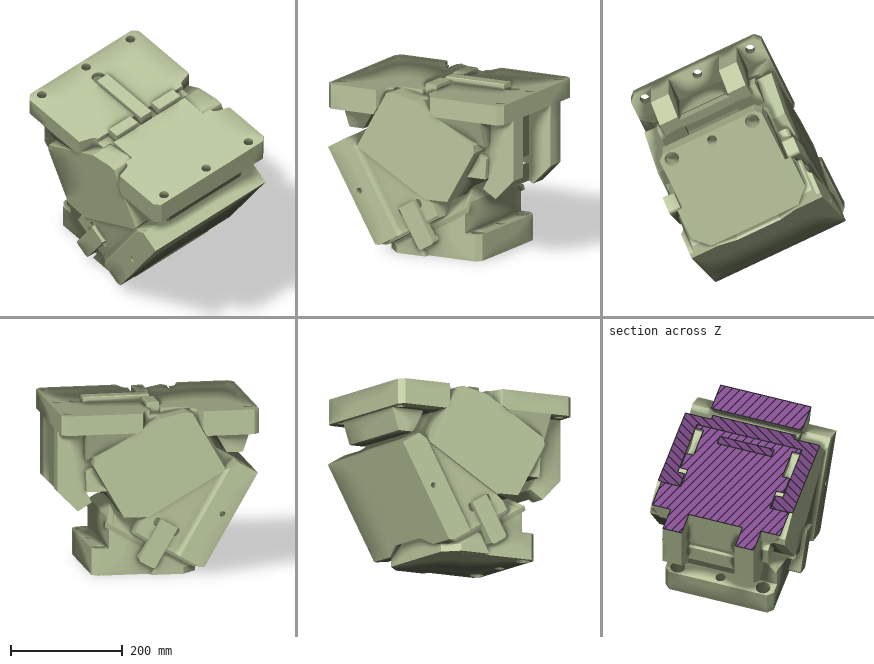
import cadquery as cq
import math


SLOPE = math.radians(30)
COS = math.cos(SLOPE)
SIN = math.sin(SLOPE)
SIDES = (-1, 1)
FAR = 432

HALF_WIDTH = 130.0
TOP_Z = 299.0
FLOOR_V = 87.0
FLANGE_TOP_V = 140.0
LIP_V = 144.7
GIB_TOP_V = 160.0
GIB_BOTTOM_V = 15.0
GIB_START_U = 152.5
GIB_END_U = 354.0
STEM_HALF = 83.5
FLANGE_HALF = 97.5
LIP_HALF = 85.0
NOSE_START_U = 336.5
NOSE_V = 129.5
GIB_CLEARANCE = 1.0
RAIL_GROOVE_START_U = 122.5
RAIL_END_U = 324
GIB_INNER_HALF = 98.3
GIB_OUTER_HALF = 126.5
RIDGE_W = 160.0
RIDGE_HALF = 42.5
EAVE_W = 126.7
EAVE_HALF = 104.8


def climbing(u, v):
    """X, Z of a point given along (u) and across (v) the climbing slope."""
    return (u * COS - v * SIN, u * SIN + v * COS)


def descending(d, w):
    """X, Z of a point given along (d) and across (w) the descending slope."""
    return (d * COS + w * SIN, w * COS - d * SIN)


def descending_rectangle(d_range, w_range):
    (d_low, d_high), (w_low, w_high) = d_range, w_range
    corners = [(d_low, w_low), (d_high, w_low), (d_high, w_high), (d_low, w_high)]
    return [descending(d, w) for d, w in corners]


def climbing_rectangle(u_range, v_range):
    (u_low, u_high), (v_low, v_high) = u_range, v_range
    corners = [(u_low, v_low), (u_high, v_low), (u_high, v_high), (u_low, v_high)]
    return [climbing(u, v) for u, v in corners]


def prism(points, y_from, y_to):
    """An X-Z outline extruded from y_from to y_to."""
    plane = cq.Workplane("XZ", origin=(0, y_from, 0))
    return plane.polyline(points).close().extrude(y_from - y_to)


def centred_prism(points, half):
    return prism(points, -half, half)


def side_prism(points, y_near, y_far, side):
    """An X-Z outline between two distances from the middle plane, on one side of it."""
    return prism(points, *sorted((side * y_near, side * y_far)))


def block(x_range, y_range, z_range):
    sizes = [high - low for low, high in (x_range, y_range, z_range)]
    corner = (x_range[0], y_range[0], z_range[0])
    return cq.Workplane("XY").box(*sizes, centered=False).translate(corner)


def drill(x, y, z, diameter, depth):
    """A vertical drill body that goes down from z."""
    return cq.Workplane("XY", origin=(x, y, z)).circle(diameter / 2).extrude(-depth)


def roof_section(points, start_d, end_d):
    """A Y-W section swept along the descending slope."""
    x, z = descending(start_d, 0)
    plane = cq.Plane(origin=(x, 0, z), xDir=(0, 1, 0), normal=(COS, 0, -SIN))
    return cq.Workplane(plane).polyline(points).close().extrude(end_d - start_d)


def roof_height(y):
    """W of the roof flank at a distance y from the middle plane."""
    return RIDGE_W - (y - RIDGE_HALF) * (RIDGE_W - EAVE_W) / (EAVE_HALF - RIDGE_HALF)


def lip_space(underside_v):
    """X-Z outline of the space of the slider lips, with a deeper nose at the far end."""
    return [
        climbing(GIB_START_U, underside_v),
        climbing(NOSE_START_U, underside_v),
        climbing(NOSE_START_U, NOSE_V),
        climbing(GIB_END_U + GIB_CLEARANCE, NOSE_V),
        climbing(GIB_END_U + GIB_CLEARANCE, FAR),
        climbing(GIB_START_U, FAR),
    ]


def mirrored(points):
    """A half section, from the middle outward, completed by its mirror image."""
    return points + [(-y, w) for y, w in reversed(points)]


def guide_rail(start_u, end_u):
    """Low rail on the contact plane, carried by the slider and housed by the holder."""
    rail_top_v = 102.5
    rail_half = 50.5
    outline = climbing_rectangle((start_u, end_u), (FLOOR_V, rail_top_v))
    return centred_prism(outline, rail_half)


PLATE_LENGTH = 360
PLATE_HALF = 129.5
PLATE_CORNER = 9.7
LEFT_PLATE_BOTTOM = 263.5
RIGHT_PLATE_BOTTOM = 253.8
GROOVE_X = (162.7, 187.5)
GROOVE_FLOOR = 289.5
KEY_TOP = 309.0
KEY_WIDTH = 25.2
LEG_HALF = 85.5
WINDOW_HALF = 50.0
NOTCH_FLOOR_HALF = 100.0
STOP_LOW_Z = 213.0
BACK_TOP_X = 45.5
HOOK_Z = 152.5
BACK_LOW_X = 50.8


def holder_plate():
    left = block((0, GROOVE_X[0]), (-PLATE_HALF, PLATE_HALF), (LEFT_PLATE_BOTTOM, TOP_Z))
    right = block((GROOVE_X[0], PLATE_LENGTH), (-PLATE_HALF, PLATE_HALF), (RIGHT_PLATE_BOTTOM, TOP_Z))
    left = left.edges("|Z and <X").chamfer(PLATE_CORNER)
    right = right.edges("|Z and >X").chamfer(PLATE_CORNER)
    return left.union(right)


def holder_core():
    """Wedge above the slope, whose stem and flange run between the slider side plates."""
    flank_low_z = 213.5
    flank_low_half = 105.0
    floor_rise_x = climbing((HOOK_Z - FLOOR_V * COS) / SIN, FLOOR_V)[0]
    floor_end_x = climbing((RIGHT_PLATE_BOTTOM - FLOOR_V * COS) / SIN, FLOOR_V)[0]
    wedge_outline = [
        (BACK_TOP_X, LEFT_PLATE_BOTTOM),
        (BACK_LOW_X, HOOK_Z),
        (floor_rise_x, HOOK_Z),
        (floor_end_x, RIGHT_PLATE_BOTTOM),
        (floor_end_x, LEFT_PLATE_BOTTOM),
    ]
    shoulder_cut = climbing_rectangle((0, FAR), (FLANGE_TOP_V, FAR))
    stem = centred_prism(wedge_outline, STEM_HALF)
    flange = centred_prism(wedge_outline, FLANGE_HALF).cut(centred_prism(shoulder_cut, FLANGE_HALF))

    below_gib = climbing_rectangle((0, FAR), (0, GIB_TOP_V))
    flank_section = [
        (flank_low_half, flank_low_z),
        (PLATE_HALF, LEFT_PLATE_BOTTOM),
        (-PLATE_HALF, LEFT_PLATE_BOTTOM),
        (-flank_low_half, flank_low_z),
    ]
    flanks = cq.Workplane("YZ").polyline(flank_section).close().extrude(PLATE_LENGTH / 2)
    flanks = flanks.intersect(centred_prism(wedge_outline, PLATE_HALF))
    flanks = flanks.cut(centred_prism(below_gib, PLATE_HALF))
    return stem.union(flange).union(flanks)


def holder_legs():
    """Two hooked legs joined by a crossbar at the hook."""
    hook_outline = [
        (0, LEFT_PLATE_BOTTOM),
        (0, HOOK_Z),
        (36.7, 115.5),
        (62.3, 131.5),
        (BACK_LOW_X, HOOK_Z),
        (BACK_TOP_X, LEFT_PLATE_BOTTOM),
    ]
    return centred_prism(hook_outline, LEG_HALF)


def holder_window():
    """Opening between the legs, with a slit above the crossbar."""
    crossbar_x = 44.5
    slit_x = (0, 86.5)
    slit_z = (HOOK_Z, 167.8)
    middle = (-WINDOW_HALF, WINDOW_HALF)
    front = block((0, crossbar_x), middle, (0, LEFT_PLATE_BOTTOM))
    return front.union(block(slit_x, middle, slit_z))


def holder_stop():
    """Tapered stop below the right end of the plate."""
    outline = [
        (288.5, RIGHT_PLATE_BOTTOM),
        (288.5, 248.5),
        (308.0, STOP_LOW_Z),
        (337.5, STOP_LOW_Z),
        (351.5, RIGHT_PLATE_BOTTOM),
    ]
    return centred_prism(outline, LEG_HALF)


def holder_side_notches():
    """Clearance in the plate around the tops of the slider side plates."""
    corner_radius = 10.8
    mouth_x = (147.0, 257.5)
    floor_x = (156.2, 248.0)
    inner_x = (179.0, 238.5)
    depth = 72
    outline = [
        (mouth_x[0], PLATE_HALF),
        (floor_x[0], NOTCH_FLOOR_HALF),
        (floor_x[1], NOTCH_FLOOR_HALF),
        (mouth_x[1], PLATE_HALF),
    ]
    notch = cq.Workplane("XY", origin=(0, 0, TOP_Z)).polyline(outline).close().extrude(-depth)
    notch = notch.edges("|Z and <Y").fillet(corner_radius)
    notch = notch.union(block(inner_x, (STEM_HALF, PLATE_HALF), (TOP_Z - depth, TOP_Z)))
    gib_path = climbing_rectangle((GIB_START_U, GIB_END_U + GIB_CLEARANCE), (GIB_BOTTOM_V, GIB_TOP_V))
    below_top = climbing_rectangle((0, FAR), (0, GIB_TOP_V))
    lip_path = side_prism(lip_space(FLANGE_TOP_V), STEM_HALF, HALF_WIDTH, 1)
    lip_path = lip_path.intersect(centred_prism(below_top, HALF_WIDTH))
    notch = notch.union(side_prism(gib_path, FLANGE_HALF, HALF_WIDTH, 1)).union(lip_path)
    return notch.union(notch.mirror("XZ"))


def holder_key_grooves():
    cross = block(GROOVE_X, (-NOTCH_FLOOR_HALF, NOTCH_FLOOR_HALF), (GROOVE_FLOOR, TOP_Z))
    slot_start = 36.7
    round_x = slot_start + KEY_WIDTH / 2
    slot = block((round_x, GROOVE_X[1]), (-KEY_WIDTH / 2, KEY_WIDTH / 2), (GROOVE_FLOOR, TOP_Z))
    slot_end = drill(round_x, 0, TOP_Z, KEY_WIDTH, TOP_Z - GROOVE_FLOOR)
    return cross.union(slot).union(slot_end)


def holder_keys():
    edge_break = 1.0
    height = (GROOVE_FLOOR, KEY_TOP)
    long_key_x = (60.0, 180.7)
    pad_x = (164.0, 186.0)
    pad_inner_y, pad_outer_y = 25.2, 75.2
    keys = block(long_key_x, (-KEY_WIDTH / 2, KEY_WIDTH / 2), height)
    keys = keys.edges("|X and >Z").chamfer(edge_break)
    for side in SIDES:
        y_range = sorted((side * pad_inner_y, side * pad_outer_y))
        pad = block(pad_x, y_range, height)
        keys = keys.union(pad.edges("|Y and >Z").chamfer(edge_break))
    return keys


def holder_holes():
    diameter = 17.3
    depth = 46.8
    left_x, left_y = 15.0, 104.8
    right_x, right_y = 344.0, 99.7
    places = [(x, row * y) for x, y in ((left_x, left_y), (right_x, right_y)) for row in (-1, 0, 1)]
    drills = cq.Workplane("XY")
    for x, y in places:
        drills = drills.add(drill(x, y, TOP_Z, diameter, depth))
    return drills.combine()


def make_holder():
    body = holder_plate().union(holder_core()).union(holder_legs()).union(holder_stop())
    body = body.cut(holder_window()).cut(guide_rail(RAIL_GROOVE_START_U, RAIL_END_U))
    body = body.cut(holder_side_notches()).cut(holder_key_grooves())
    return body.union(holder_keys()).cut(holder_holes())


BODY_HALF = 122.5
FACE_D = 217.0
FACE_START_D = 168.5
SLAB_TOP_W = 336.5
BODY_START_D = 75.5
CLIP_D = (104.5, 138.5)
CLIP_W = (96.0, 181.0)
CLIP_INNER_HALF = 114.0
SLIDER_LOW_Z = 14.8
UNDER_W = 108
GIB_FOOT_Z = 109.0
GIB_FOOT_V = 38.5
GIB_FOOT_END = (154.0, GIB_FOOT_Z)
GIB_BOTTOM_START = climbing(188.0, GIB_BOTTOM_V)


def slider_body():
    """Core between the side plates and the wider lower body beneath them."""
    tip_u = 362.0
    inner_half = 77.8
    core_top_d = 140.0
    front_top = descending(75.0, 157.0)
    lower_outline = [
        front_top,
        descending(BODY_START_D, UNDER_W),
        descending(FACE_D, UNDER_W),
        descending(FACE_D, SLAB_TOP_W),
        climbing(FAR, GIB_BOTTOM_V),
        GIB_BOTTOM_START,
    ]
    core_outline = [
        climbing(GIB_START_U, FLOOR_V),
        climbing(GIB_START_U, GIB_FOOT_V),
        GIB_FOOT_END,
        *lower_outline[:4],
        descending(core_top_d, SLAB_TOP_W),
        climbing(tip_u, 73.8),
        climbing(356.5, FLOOR_V),
    ]
    beyond_face = descending_rectangle((0, FACE_D), (SLAB_TOP_W, FAR))
    lower = centred_prism(lower_outline, BODY_HALF).cut(centred_prism(beyond_face, BODY_HALF))
    nose = centred_prism([(134.5, GIB_FOOT_Z), GIB_FOOT_END, front_top], inner_half)
    beyond_gib = climbing_rectangle((GIB_END_U, FAR), (GIB_BOTTOM_V, LIP_V))
    core = centred_prism(core_outline, GIB_INNER_HALF)
    for side in SIDES:
        core = core.cut(side_prism(beyond_gib, inner_half, GIB_INNER_HALF, side))
    return core.union(nose).union(lower)


def slider_slab():
    """Wide front slab, with a cove where it rises from the body on each side."""
    cove_radius = 10.8
    cove_y = BODY_HALF + cove_radius
    cove_d = FACE_START_D - math.sqrt(cove_radius**2 - (cove_y - HALF_WIDTH)**2)
    gib_line_d = 178.0
    frame_factor = COS**2 - SIN**2
    cove_end = (
        (cove_d * COS + GIB_BOTTOM_V * SIN) / frame_factor,
        (cove_d * SIN + GIB_BOTTOM_V * COS) / frame_factor,
    )
    outline = [
        descending(cove_d, UNDER_W),
        descending(FACE_D, UNDER_W),
        descending(FACE_D, SLAB_TOP_W),
        descending(gib_line_d, SLAB_TOP_W),
        cove_end,
    ]
    slab = centred_prism(outline, HALF_WIDTH)
    x, z = descending(cove_d, 0)
    for side in SIDES:
        plane = cq.Plane(origin=(x, side * cove_y, z), xDir=(0, 1, 0), normal=(SIN, 0, COS))
        slab = slab.cut(cq.Workplane(plane).circle(cove_radius).extrude(SLAB_TOP_W))
    return slab


def slider_side_plate(side):
    """Side plate with a lip that hooks over the holder flange."""
    outline = [
        climbing(GIB_START_U, GIB_FOOT_V),
        GIB_FOOT_END,
        GIB_BOTTOM_START,
        climbing(350.0, GIB_BOTTOM_V),
        climbing(GIB_END_U, 19.0),
        climbing(GIB_END_U, 136.8),
        (227.5, 297.7),
        climbing(300.0, GIB_TOP_V),
        climbing(161.3, GIB_TOP_V),
        climbing(GIB_START_U, 149.5),
    ]
    plate = side_prism(outline, GIB_INNER_HALF, GIB_OUTER_HALF, side)
    lip = side_prism(outline, LIP_HALF, GIB_INNER_HALF, side)
    lip = lip.intersect(centred_prism(lip_space(LIP_V), HALF_WIDTH))
    return plate.union(lip)


def slider_underside():
    """Space below the slider: V channel over the driver roof and bevelled outer edges."""
    bevel_w = 132.5
    bevel_half = RIDGE_HALF + (RIDGE_W - bevel_w) * (EAVE_HALF - RIDGE_HALF) / (RIDGE_W - EAVE_W)
    edge_w = 138.0
    section = mirrored([
        (RIDGE_HALF, RIDGE_W),
        (bevel_half, bevel_w),
        (118.8, bevel_w),
        (BODY_HALF, edge_w),
        (HALF_WIDTH, edge_w),
        (HALF_WIDTH, 0),
    ])
    return roof_section(section, 0, FAR)


def slider_clip_recess(side):
    corner_radius = 6.5
    d_range = (95.5, 146.5)
    w_range = (164.5, 181.0)
    outline = descending_rectangle(d_range, w_range)
    return side_prism(outline, CLIP_INNER_HALF, HALF_WIDTH, side).edges("|Y").fillet(corner_radius)


def slider_clip(side):
    """Return clip hanging below the slider, with a hook at its foot."""
    hook_top_w = 107.3
    hook_inner_half = 107.3
    outer_half = 129.5
    foot_radius = 5.5
    shank_outline = descending_rectangle(CLIP_D, CLIP_W)
    hook_outline = descending_rectangle(CLIP_D, (CLIP_W[0], hook_top_w))
    shank = side_prism(shank_outline, CLIP_INNER_HALF, outer_half, side)
    hook = side_prism(hook_outline, hook_inner_half, outer_half, side)
    shank = shank.edges("|Y").edges("<X or <Z").fillet(foot_radius)
    hook = hook.edges("|Y").edges("<X or <Z").fillet(foot_radius)
    return shank.union(hook)


def slider_side_hole(side):
    x, z = 292.0, 109.8
    radius = 5.5
    depth = 21.5
    plane = cq.Workplane("XZ", origin=(x, side * HALF_WIDTH, z))
    return plane.circle(radius).extrude(side * depth)


def make_slider():
    body = slider_body().union(slider_slab()).union(guide_rail(GIB_START_U, RAIL_END_U))
    for side in SIDES:
        body = body.union(slider_side_plate(side))
    body = body.cut(slider_underside())
    body = body.cut(block((0, FAR), (-HALF_WIDTH, HALF_WIDTH), (-FAR, SLIDER_LOW_Z)))
    for side in SIDES:
        body = body.cut(slider_clip_recess(side)).union(slider_clip(side)).cut(slider_side_hole(side))
    return body


DRIVER_X = (60.0, 250.2)
DRIVER_WALL_X = 90.5
DRIVER_HALF = 101.5
STEP_Z = 48.5
ROOF_START_D = 27.0
WIDE_HALF = 113.0
FRONT_CORNER = 9.7
REAR_CORNER = 26.5
DRIVER_TOP_Z = 119.0


def driver_roof():
    section = mirrored([(RIDGE_HALF, RIDGE_W), (EAVE_HALF, EAVE_W), (DRIVER_HALF, 118.0), (77.8, 136.8)])
    return roof_section(section, ROOF_START_D, FAR)


def driver_roof_groove():
    """Shallow groove across the roof, close to its upper end."""
    depth = 1.5
    start_d, end_d = 36.5, 39.0
    top = [(RIDGE_HALF, RIDGE_W), (EAVE_HALF, EAVE_W)]
    floor = [(y, w - depth) for y, w in reversed(top)]
    groove = cq.Workplane("XY")
    for side in SIDES:
        groove = groove.add(roof_section([(side * y, w) for y, w in top + floor], start_d, end_d))
    return groove.combine()


def space_below_roof():
    section = mirrored([(RIDGE_HALF, RIDGE_W), (WIDE_HALF, roof_height(WIDE_HALF)), (WIDE_HALF, 0)])
    return roof_section(section, ROOF_START_D, FAR)


def driver_base():
    width = (-DRIVER_HALF, DRIVER_HALF)
    foot = block((DRIVER_X[0], DRIVER_WALL_X), width, (0, STEP_Z))
    foot = foot.edges("|Z and <X").chamfer(FRONT_CORNER)
    upper = block((DRIVER_WALL_X, DRIVER_X[1]), width, (0, DRIVER_TOP_Z))
    return foot.union(upper.intersect(space_below_roof()))


def driver_wide_foot():
    """Wider rear part of the base, up to the roof flanks."""
    start_d = 142.5
    outline = [descending(start_d, 82.5), descending(start_d, RIDGE_W), (DRIVER_X[1], DRIVER_TOP_Z),
               (DRIVER_X[1], 0)]
    return centred_prism(outline, WIDE_HALF).intersect(space_below_roof())


def driver_holes():
    x = 75.2
    middle_diameter = 17.5
    outer_diameter = 26.0
    outer_y = 80.0
    drills = drill(x, 0, STEP_Z, middle_diameter, STEP_Z)
    for side in SIDES:
        drills = drills.union(drill(x, side * outer_y, STEP_Z, outer_diameter, STEP_Z))
    return drills


def make_driver():
    envelope = block(DRIVER_X, (-WIDE_HALF, WIDE_HALF), (0, DRIVER_TOP_Z))
    envelope = envelope.edges("|Z and >X").chamfer(REAR_CORNER)
    body = driver_base().union(driver_roof()).union(driver_wide_foot()).intersect(envelope)
    return body.cut(driver_roof_groove()).cut(driver_holes())


holder = make_holder()
slider = make_slider()
driver = make_driver()

result = cq.Compound.makeCompound([*holder.vals(), *slider.vals(), *driver.vals()])